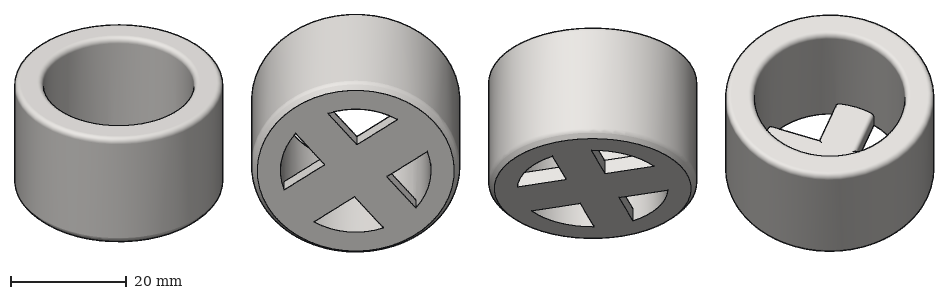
import cadquery as cq

outer_diameter = 36.0
bore_diameter = 26.0
height = 22.0
rim_fillet = 1.0
base_chamfer = 1.0
base_fillet = 1.0

bar_x_width = 8.5
bar_y_width = 7.0
cross_thickness = 3.0
cross_fillet = 0.7


def make_ring():
    """Tube with a rounded rim and a softened chamfer around its base."""
    body = cq.Workplane("XY").circle(outer_diameter / 2).extrude(height)
    body = body.faces("<Z").edges().chamfer(base_chamfer)
    body = body.faces("%CYLINDER").edges("<Z").fillet(base_fillet)
    body = body.cut(cq.Workplane("XY").circle(bore_diameter / 2).extrude(height))
    return body.faces(">Z").edges().fillet(rim_fillet)


def make_bar(length_x, length_y):
    """Flat rectangular bar centred on the ring axis."""
    return cq.Workplane("XY").rect(length_x, length_y).extrude(cross_thickness)


def make_cross():
    """Two crossing bars with rounded upper edges, trimmed to the bore."""
    bar_x = make_bar(outer_diameter, bar_x_width)
    bar_y = make_bar(bar_y_width, outer_diameter)
    cross = bar_x.union(bar_y).faces(">Z").edges().fillet(cross_fillet)
    bore_core = cq.Workplane("XY").circle(bore_diameter / 2).extrude(cross_thickness)
    return cross.intersect(bore_core)


result = make_ring().union(make_cross())